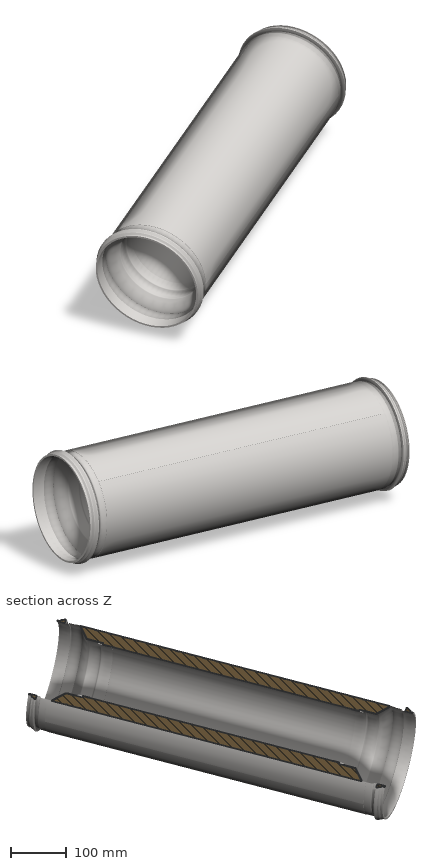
import cadquery as cq
import math

length = 672.0
half_length = length / 2
sheet = 0.5

casing_outer_radius = 200.0 / 2
casing_sheet = 1.0
casing_inner_radius = casing_outer_radius - casing_sheet
casing_inset = 35.5
seam_gap = 0.2
seam_angle = 45.0

rim_outer_radius = casing_outer_radius
rim_thickness = 1.5
neck_outer_radius = 194.0 / 2
neck_inner_radius = neck_outer_radius - sheet
shoulder_start = 21.5
sleeve_outer_radius = casing_inner_radius
sleeve_inner_radius = sleeve_outer_radius - sheet
sleeve_end = 43.0

seal_start = rim_thickness
seal_end = 15.5
seal_base_radius = 198.0 / 2
front_lip_foot = 5.0
front_lip_radius = 204.0 / 2
front_lip_start = 7.5
front_lip_end = 9.5
rear_lip_radius = 209.5 / 2
rear_lip_start = 13.5

reducer_mouth_radius = sleeve_outer_radius
collar_inner_radius = 158.0 / 2
tail_inner_radius = 153.0 / 2
step_start = 84.0
tail_end = 107.5
cone_slope = 45.0
cone_bend_radius = 3.5
step_bend_radius = 3.0

lining_bore_radius = tail_inner_radius + sheet
collar_recess_end = 94.0


def revolve_about_axis(profile):
    """Turn a profile, drawn as (radius, distance from the front mouth), about the Y axis."""
    return profile.revolve(360, (0, 0), (0, 1)).translate((0, -half_length, 0))


def make_tube(inner_radius, outer_radius, start, end):
    """Tube about the duct axis between two distances from the front mouth."""
    return revolve_about_axis(
        cq.Workplane("XY").polyline([
            (inner_radius, start),
            (outer_radius, start),
            (outer_radius, end),
            (inner_radius, end),
        ]).close()
    )


def make_casing():
    tube = make_tube(casing_inner_radius, casing_outer_radius, casing_inset, length - casing_inset)
    slit = (
        cq.Workplane("XY")
        .box(seam_gap, length, casing_outer_radius)
        .translate((0, 0, casing_outer_radius))
        .rotate((0, 0, 0), (0, 1, 0), -seam_angle)
    )
    return tube.cut(slit).val()


def make_spigot():
    """Flanged rim, neck, quarter-round shoulder and sleeve, with an even wall behind the rim."""
    outer_round = sleeve_outer_radius - neck_outer_radius
    inner_round = outer_round - sheet
    round_end = shoulder_start + outer_round
    diagonal = math.sqrt(0.5)
    return revolve_about_axis(
        cq.Workplane("XY")
        .moveTo(neck_inner_radius, 0)
        .lineTo(rim_outer_radius, 0)
        .lineTo(rim_outer_radius, rim_thickness)
        .lineTo(neck_outer_radius, rim_thickness)
        .lineTo(neck_outer_radius, shoulder_start)
        .threePointArc(
            (neck_outer_radius + outer_round * diagonal, round_end - outer_round * diagonal),
            (sleeve_outer_radius, round_end),
        )
        .lineTo(sleeve_outer_radius, sleeve_end)
        .lineTo(sleeve_inner_radius, sleeve_end)
        .lineTo(sleeve_inner_radius, round_end)
        .threePointArc(
            (neck_outer_radius + inner_round * diagonal, round_end - inner_round * diagonal),
            (neck_outer_radius, shoulder_start + sheet),
        )
        .lineTo(neck_inner_radius, shoulder_start + sheet)
        .close()
    ).val()


def make_seal():
    return revolve_about_axis(
        cq.Workplane("XY").polyline([
            (neck_outer_radius, seal_start),
            (seal_base_radius, seal_start),
            (seal_base_radius, front_lip_foot),
            (front_lip_radius, front_lip_start),
            (front_lip_radius, front_lip_end),
            (rear_lip_radius, rear_lip_start),
            (rear_lip_radius, seal_end),
            (neck_outer_radius, seal_end),
        ]).close()
    ).val()


def add_bend(path, before, corner, after, radius):
    """Continue a path to a corner and round the corner with an arc of the given radius."""
    corner = cq.Vector(*corner)
    to_before = (cq.Vector(*before) - corner).normalized()
    to_after = (cq.Vector(*after) - corner).normalized()
    half_angle = to_before.getAngle(to_after) / 2
    tangent_length = radius / math.tan(half_angle)
    arc_depth = radius / math.sin(half_angle) - radius
    start = corner + to_before * tangent_length
    middle = corner + (to_before + to_after).normalized() * arc_depth
    end = corner + to_after * tangent_length
    return path.lineTo(start.x, start.y).threePointArc((middle.x, middle.y), (end.x, end.y))


def make_plug(offset):
    """Solid that fills the reducer's bore, with its surface moved outward by the given offset."""
    slope = math.radians(cone_slope)
    mouth_radius = reducer_mouth_radius - (sheet - offset) / math.cos(slope)
    collar_radius = collar_inner_radius + offset
    tail_radius = tail_inner_radius + offset
    step_begin = step_start + offset * math.tan(slope / 2)

    mouth = (mouth_radius, sleeve_end)
    cone_corner = (collar_radius, sleeve_end + (mouth_radius - collar_radius) / math.tan(slope))
    step_corner = (collar_radius, step_begin)
    tail_corner = (tail_radius, step_begin + (collar_radius - tail_radius) / math.tan(slope))
    tail_rim = (tail_radius, tail_end)

    path = cq.Workplane("XY").moveTo(0, sleeve_end).lineTo(*mouth)
    path = add_bend(path, mouth, cone_corner, step_corner, cone_bend_radius - offset)
    path = add_bend(path, cone_corner, step_corner, tail_corner, step_bend_radius + offset)
    path = add_bend(path, step_corner, tail_corner, tail_rim, step_bend_radius - offset)
    return revolve_about_axis(path.lineTo(*tail_rim).lineTo(0, tail_end).close())


def make_reducer():
    return make_plug(sheet).cut(make_plug(0)).val()


def make_lining():
    """Tube of filling, shaped at both ends to fit behind the reducers."""
    tube = make_tube(lining_bore_radius, casing_inner_radius, sleeve_end, length - sleeve_end)
    recess = make_tube(0, collar_inner_radius + sheet, sleeve_end, collar_recess_end)
    end_cut = make_plug(sheet).union(recess)
    return tube.cut(end_cut).cut(end_cut.mirror("XZ")).val()


casing = make_casing()
lining = make_lining()

end_bodies = []
for make_body in (make_spigot, make_seal, make_reducer):
    front_body = make_body()
    end_bodies += [front_body, front_body.mirror("XZ")]

result = cq.Compound.makeCompound([casing, lining, *end_bodies])